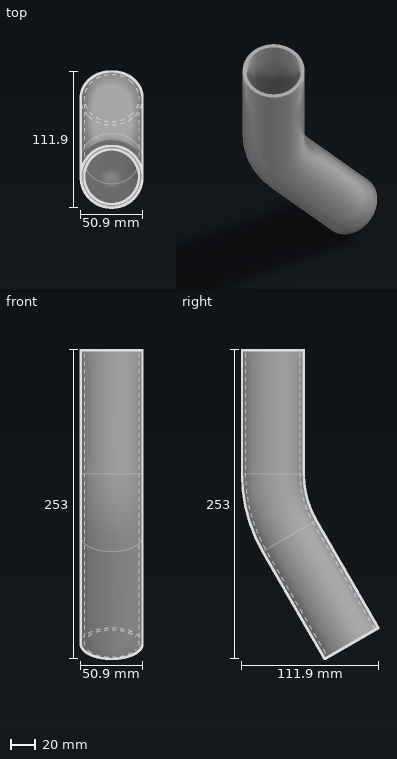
import cadquery as cq
import math

total_height = 253.0
outer_diameter = 50.9
inner_diameter = 44.8
bend_angle = 30.0

bend_sin = math.sin(math.radians(bend_angle))
bend_cos = math.cos(math.radians(bend_angle))

leg_length = (total_height - outer_diameter / 2 * bend_sin) / (1 + bend_sin + bend_cos)
bend_radius = leg_length


def bend_point(angle):
    """Point (Y, Z) on the bend centreline, at an angle in degrees from the bend start."""
    turn = math.radians(angle)
    return bend_radius * (1 - math.cos(turn)), -bend_radius * math.sin(turn)


bend_end_y, bend_end_z = bend_point(bend_angle)
lower_end = (bend_end_y + leg_length * bend_sin, bend_end_z - leg_length * bend_cos)
centreline = (
    cq.Workplane("YZ")
    .moveTo(0, leg_length)
    .lineTo(0, 0)
    .threePointArc(bend_point(bend_angle / 2), (bend_end_y, bend_end_z))
    .lineTo(*lower_end)
)

result = (
    cq.Workplane("XY")
    .workplane(offset=leg_length)
    .circle(outer_diameter / 2)
    .circle(inner_diameter / 2)
    .sweep(centreline)
)